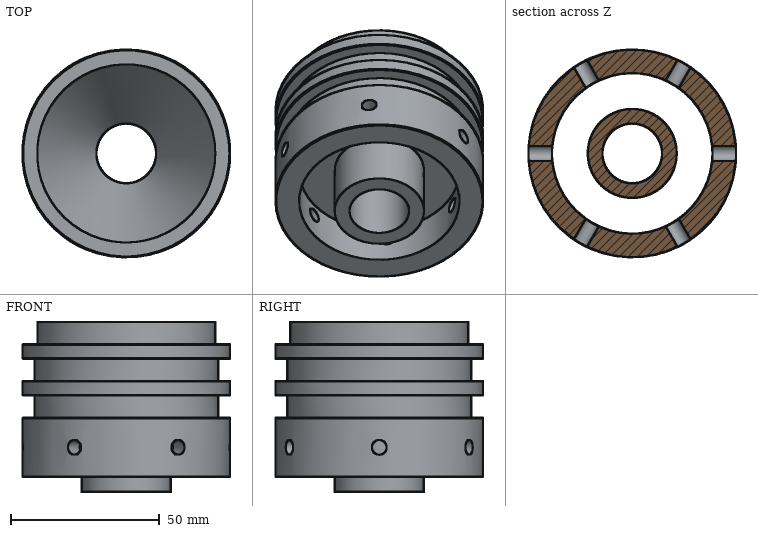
import cadquery as cq
import math

flange_diameter = 70.0
neck_diameter = 62.0
rim_diameter = 60.0
spout_diameter = 30.0
bore_diameter = 20.0

spout_length = 5.0
base_height = 20.0
ring_height = 5.0
gap_height = 7.4
ring_count = 2
edge_chamfer = 0.3

hole_diameter = 5.0
hole_count = 6

cavity_diameter = 54.0
cavity_roof = 5.0

cone_angle = 60

base_top = spout_length + base_height
pitch = gap_height + ring_height
rings_top = base_top + ring_count * pitch
total_height = rings_top + gap_height
hole_height = spout_length + base_height / 2
cone_height = (rim_diameter - bore_diameter) / 2 / math.tan(math.radians(cone_angle / 2))
cone_bottom = total_height - cone_height
cavity_depth = base_height - cavity_roof


def disc(diameter, bottom, height):
    return cq.Workplane("XY").workplane(offset=bottom).circle(diameter / 2).extrude(height)


def flange(bottom, height):
    """Full-diameter disc with both outer edges broken."""
    return disc(flange_diameter, bottom, height).edges().chamfer(edge_chamfer)


def funnel():
    """Conical mouth, sharp at the rim, narrowing to a straight bore through the spout."""
    return (
        cq.Workplane("XZ")
        .moveTo(0, 0)
        .lineTo(bore_diameter / 2, 0)
        .lineTo(bore_diameter / 2, cone_bottom)
        .lineTo(rim_diameter / 2, total_height)
        .lineTo(0, total_height)
        .close()
        .revolve(360, (0, 0, 0), (0, 1, 0))
    )


def cavity():
    """Ring-shaped space between the spout and the outer wall of the base."""
    space = disc(cavity_diameter, spout_length, cavity_depth)
    return space.cut(disc(spout_diameter, spout_length, cavity_depth))


def radial_hole(angle):
    """Hole through the outer wall of the base, ending inside the cavity."""
    inner_end = (cavity_diameter + spout_diameter) / 4
    drill = (
        cq.Workplane("YZ")
        .workplane(offset=inner_end)
        .center(0, hole_height)
        .circle(hole_diameter / 2)
        .extrude(flange_diameter / 2)
    )
    return drill.rotate((0, 0, 0), (0, 0, 1), angle)


body = disc(spout_diameter, 0, base_top)
body = body.union(flange(spout_length, base_height))
body = body.union(disc(neck_diameter, base_top, rings_top - base_top))
for i in range(ring_count):
    body = body.union(flange(base_top + gap_height + i * pitch, ring_height))
body = body.union(disc(rim_diameter, rings_top, gap_height))

body = body.cut(funnel())
body = body.cut(cavity())

for i in range(hole_count):
    body = body.cut(radial_hole(180 + i * 360 / hole_count))

result = body